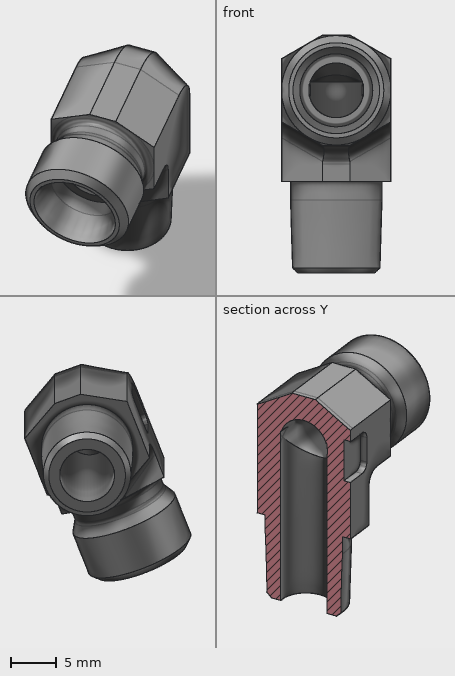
import cadquery as cq
import math


across_flats = 12.0
half_width = across_flats / 2
hex_side = across_flats * math.tan(math.radians(30))
corner_height = hex_side / 2
flat_reach = 6.05
flat_half = (hex_side - flat_reach) * math.tan(math.radians(60))
front_face = 8.0
lower_face = 10.0
inner_fillet = 2.0
wedge_reach = 15.64

pocket_size = 5.0
pocket_corner = 1.0
pocket_depth = 0.83
pocket_offset = -0.5

stub_radius = 10.03 / 2
stub_straight_end = 12.05
stub_taper_end = 19.45
stub_taper_radius = 4.8
stub_tip_radius = 4.2
stub_end = 26.05 - flat_reach

connector_end = 23.06 - flat_reach
connector_chamfer = 0.78
neck_radius = 10.4 / 2
neck_fillet = half_width - neck_radius
neck_end = 9.75
runout_radius = 0.95
runout_angle = math.radians(30)

bore_radius = 6.0 / 2
bore_overrun = 0.89
drill_tip = bore_radius / math.tan(math.radians(59))
socket_radius = 8.0 / 2
socket_depth = 5.5
seat_mouth_radius = 4.75
seat_depth = (seat_mouth_radius - socket_radius) / math.tan(math.radians(12))


def truncated_hexagon():
    """Branch section: a hexagon with its two points cut flat."""
    return [
        (half_width, corner_height), (flat_half, flat_reach),
        (-flat_half, flat_reach), (-half_width, corner_height),
        (-half_width, -corner_height), (-flat_half, -flat_reach),
        (flat_half, -flat_reach), (half_width, -corner_height),
    ]


def rounded_wedge(outer_side, edge_middle):
    """Inner-corner void beyond one face of both branches, with its mitre edge rounded.

    outer_side is the section area outside that face; both branches share it.
    """
    beyond_forward = cq.Workplane("XZ").polyline(outer_side).close().extrude(wedge_reach)
    beyond_down = cq.Workplane("XY").polyline(outer_side).close().extrude(-wedge_reach)
    mitre_edge = cq.selectors.NearestToPointSelector(edge_middle)
    return beyond_forward.intersect(beyond_down).edges(mitre_edge).fillet(inner_fillet)


def make_flat_wedge():
    area = [
        (-across_flats, -flat_reach), (across_flats, -flat_reach),
        (across_flats, -wedge_reach), (-across_flats, -wedge_reach),
    ]
    return rounded_wedge(area, (0, -flat_reach, -flat_reach))


def make_slanted_wedge(side):
    area = [
        (side * across_flats, 0), (-side * half_width, -3 * corner_height),
        (-side * half_width, -wedge_reach), (side * across_flats, -wedge_reach),
    ]
    middle = 1.5 * corner_height
    return rounded_wedge(area, (side * half_width / 2, -middle, -middle))


def make_body():
    forward = cq.Workplane("XZ").polyline(truncated_hexagon()).close().extrude(front_face)
    down = cq.Workplane("XY").polyline(truncated_hexagon()).close().extrude(-lower_face)

    upper_half = [(half_width, 0)] + truncated_hexagon()[:4] + [(-half_width, 0)]
    corner = (
        cq.Workplane("XZ").polyline(upper_half).close()
        .revolve(90, (0, 0, 0), (-1, 0, 0))
    )

    inner_block = cq.Workplane("XY").box(
        across_flats, front_face, lower_face
    ).translate((0, -front_face / 2, -lower_face / 2))
    body = forward.union(down).union(corner).union(inner_block)
    body = body.cut(make_flat_wedge())
    for side in (-1, 1):
        body = body.cut(make_slanted_wedge(side))
    return body


def make_pocket():
    return (
        cq.Workplane("XY").box(pocket_depth, pocket_size, pocket_size)
        .edges("|X").fillet(pocket_corner)
        .translate((pocket_depth / 2 - half_width, pocket_offset, pocket_offset))
    )


def make_stub():
    profile = [
        (0, 0), (stub_radius, 0), (stub_radius, -stub_straight_end),
        (stub_taper_radius, -stub_taper_end), (stub_tip_radius, -stub_end), (0, -stub_end),
    ]
    return cq.Workplane("XZ").polyline(profile).close().revolve(360, (0, 0, 0), (0, 1, 0))


def runout_point(angle):
    """Point on the concave arc between neck and runout cone, as (radius, y)."""
    radius = neck_radius + runout_radius * (1 - math.cos(angle))
    return radius, -neck_end - runout_radius * math.sin(angle)


def make_connector():
    cone_start = runout_point(runout_angle)
    cone_end = -cone_start[1] + (half_width - cone_start[0]) / math.tan(runout_angle)
    neck_start = front_face + neck_fillet
    fillet_middle = (
        half_width - neck_fillet * math.sin(math.radians(45)),
        -neck_start + neck_fillet * math.sin(math.radians(45)),
    )
    return (
        cq.Workplane("XY").lineTo(neck_radius, 0).lineTo(neck_radius, -corner_height)
        .lineTo(half_width, -front_face)
        .threePointArc(fillet_middle, (neck_radius, -neck_start))
        .lineTo(neck_radius, -neck_end)
        .threePointArc(runout_point(runout_angle / 2), cone_start)
        .lineTo(half_width, -cone_end)
        .lineTo(half_width, connector_chamfer - connector_end)
        .lineTo(half_width - connector_chamfer, -connector_end)
        .lineTo(0, -connector_end).close()
        .revolve(360, (0, 0, 0), (0, 1, 0))
    )


def make_stub_bore():
    profile = [
        (0, -stub_end), (bore_radius, -stub_end),
        (bore_radius, bore_overrun), (0, bore_overrun + drill_tip),
    ]
    return cq.Workplane("XZ").polyline(profile).close().revolve(360, (0, 0, 0), (0, 1, 0))


def make_connector_bore():
    profile = [
        (0, -connector_end), (seat_mouth_radius, -connector_end),
        (socket_radius, seat_depth - connector_end),
        (socket_radius, socket_depth - connector_end),
        (bore_radius, socket_depth - connector_end),
        (bore_radius, bore_overrun), (0, bore_overrun + drill_tip),
    ]
    return cq.Workplane("XY").polyline(profile).close().revolve(360, (0, 0, 0), (0, 1, 0))


result = (
    make_body()
    .union(make_stub())
    .union(make_connector())
    .cut(make_pocket())
    .cut(make_stub_bore())
    .cut(make_connector_bore())
)